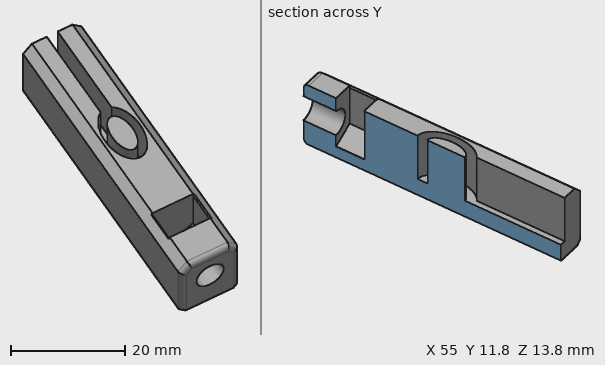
import cadquery as cq
import math

length = 55
width = 11.8
height = 13.8
top_bevel = 1.8
bottom_bevel = 0.95
end_fillet = 1.1

slot_width = 2.2
slot_depth = 10.0
oval_x = 24.55
recess_radius_x = 6.05
recess_radius_y = 3.5
island_radius_x = 4.0
island_radius_y = 2.05

pocket_start = 42.0
pocket_length = 6.0
pocket_width = 8.2
pocket_rim_bevel = 0.3
pocket_rim_z = height - pocket_rim_bevel
pocket_wall_depth = 8.8
floor_slope_angle = 30

hole_diameter = 5.5
hole_z = 8.0


def make_body():
    half_width = width / 2
    half_top = half_width - top_bevel
    half_bottom = half_width - bottom_bevel
    section = [
        (-half_bottom, 0),
        (half_bottom, 0),
        (half_width, bottom_bevel),
        (half_width, height - top_bevel),
        (half_top, height),
        (-half_top, height),
        (-half_width, height - top_bevel),
        (-half_width, bottom_bevel),
    ]
    bar = cq.Workplane("YZ").polyline(section).close().extrude(length)
    return bar.faces(">X").edges().fillet(end_fillet)


def make_slot():
    floor = cq.Workplane("XY").workplane(offset=height - slot_depth)
    slot = floor.center(oval_x / 2, 0).rect(oval_x, slot_width).extrude(slot_depth)
    ovals = floor.center(oval_x, 0)
    recess = ovals.ellipse(recess_radius_x, recess_radius_y).extrude(slot_depth)
    island = ovals.ellipse(island_radius_x, island_radius_y).extrude(slot_depth)
    return slot.union(recess).cut(island)


def make_pocket():
    half_width = pocket_width / 2
    wall_bottom = height - pocket_wall_depth
    half_rim = half_width + pocket_rim_bevel
    wall_top = pocket_rim_z - pocket_rim_bevel
    floor_drop = half_width * math.tan(math.radians(floor_slope_angle))
    section = [
        (-half_rim, height),
        (-half_rim, pocket_rim_z),
        (-half_width, wall_top),
        (-half_width, wall_bottom),
        (0, wall_bottom - floor_drop),
        (half_width, wall_bottom),
        (half_width, wall_top),
        (half_rim, pocket_rim_z),
        (half_rim, height),
    ]
    plane = cq.Workplane("YZ").workplane(offset=pocket_start)
    return plane.polyline(section).close().extrude(pocket_length)


def make_hole():
    hole_start = pocket_start + pocket_length
    plane = cq.Workplane("YZ").workplane(offset=hole_start)
    return plane.center(0, hole_z).circle(hole_diameter / 2).extrude(length - hole_start)


result = make_body().cut(make_slot()).cut(make_pocket()).cut(make_hole())